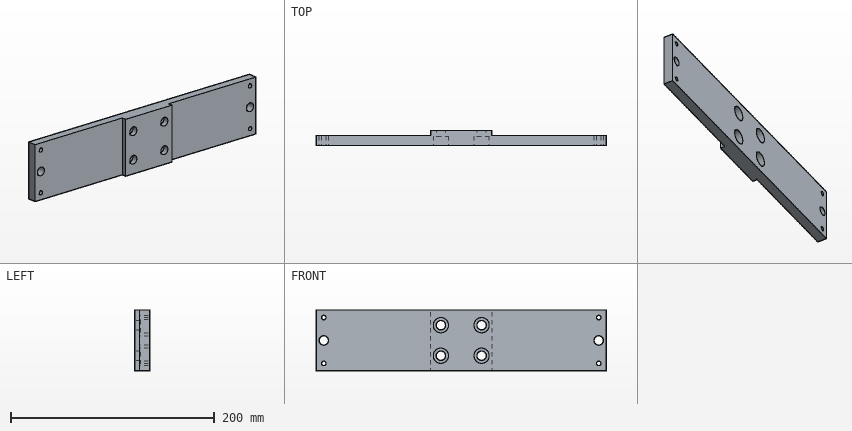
import cadquery as cq

plate_length = 285.0
plate_thickness = 10.0
plate_height = 60.0

pad_width = 60.0
pad_thickness = 5.0
total_thickness = plate_thickness + pad_thickness

bolt_spacing_x = 40.0
bolt_spacing_z = 30.0
bolt_diameter = 9.0
counterbore_diameter = 15.0
counterbore_depth = 9.0

end_hole_edge_distance = 7.5
end_hole_spacing_x = plate_length - 2 * end_hole_edge_distance
end_hole_diameter = 9.0
corner_hole_spacing_z = 45.0
corner_hole_diameter = 4.2


def rear_facing_block(width, thickness):
    """Full-height block centred on X and Z, running from the front face toward +Y."""
    return cq.Workplane("XY").box(width, thickness, plate_height, centered=(True, False, True))


def mirrored_points(spacing_x, spacing_z):
    """Four (x, z) points placed symmetrically about the plate centre."""
    return [(sx * spacing_x / 2, sz * spacing_z / 2) for sx in (-1, 1) for sz in (-1, 1)]


def hole_cutters(points, diameter, depth):
    """Cylinders sunk from the front face toward +Y at the given (x, z) points."""
    return cq.Workplane("XZ").pushPoints(points).circle(diameter / 2).extrude(-depth)


bolt_points = mirrored_points(bolt_spacing_x, bolt_spacing_z)
corner_points = mirrored_points(end_hole_spacing_x, corner_hole_spacing_z)
end_points = [(-end_hole_spacing_x / 2, 0), (end_hole_spacing_x / 2, 0)]

plate = rear_facing_block(plate_length, plate_thickness)
body = plate.union(rear_facing_block(pad_width, total_thickness))

body = body.cut(hole_cutters(bolt_points, bolt_diameter, total_thickness))
body = body.cut(hole_cutters(bolt_points, counterbore_diameter, counterbore_depth))

body = body.cut(hole_cutters(end_points, end_hole_diameter, plate_thickness))
body = body.cut(hole_cutters(corner_points, corner_hole_diameter, plate_thickness))

result = body